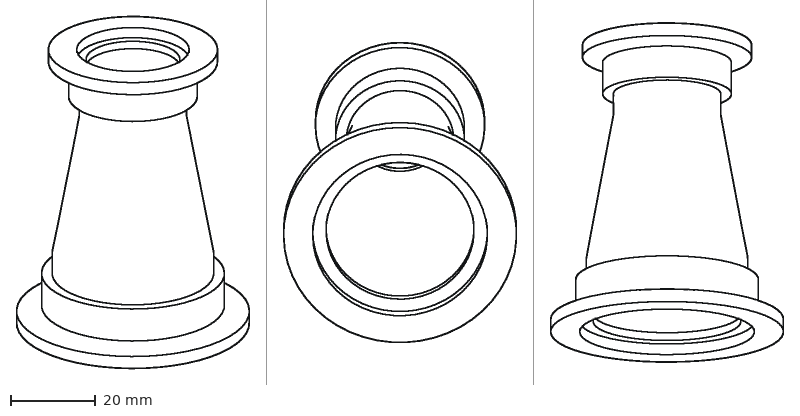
import cadquery as cq

total_height = 69.95

wall = 1.6
small_tube_radius = 12.65
large_tube_radius = 19.0
small_bore_radius = small_tube_radius - wall
large_bore_radius = large_tube_radius - wall
cone_bottom = 18.05
cone_top = 52.9

rim_thickness = 3.1
recess_depth = 2.6
socket_floor_depth = 4.5

large_rim_radius = 27.4
large_collar_radius = 21.55
large_collar_start = 4.55
large_flange_height = 12.7
large_recess_radius = 20.6

small_rim_radius = 19.95
small_collar_radius = 15.2
small_collar_start = 4.35
small_flange_height = 11.95
small_recess_radius = 13.2


def revolve_profile(points):
    """Revolve a closed (radius, height) outline about the Z axis."""
    return cq.Workplane("XZ").polyline(points).close().revolve(360, (0, 0), (0, 1))


def make_reducer():
    """Conical tube whose ends stand on the socket floors of the flanges."""
    bottom = socket_floor_depth
    top = total_height - socket_floor_depth
    return revolve_profile([
        (large_bore_radius, bottom),
        (large_tube_radius, bottom),
        (large_tube_radius, cone_bottom),
        (small_tube_radius, cone_top),
        (small_tube_radius, top),
        (small_bore_radius, top),
        (small_bore_radius, cone_top),
        (large_bore_radius, cone_bottom),
    ])


def make_flange(rim_radius, collar_radius, collar_start, height, recess_radius, tube_radius):
    """Clamp flange with its face at Z = 0: rim, sloped back, collar, seal recess and tube socket."""
    return revolve_profile([
        (recess_radius, 0),
        (rim_radius, 0),
        (rim_radius, rim_thickness),
        (collar_radius, collar_start),
        (collar_radius, height),
        (tube_radius, height),
        (tube_radius, socket_floor_depth),
        (tube_radius - wall, socket_floor_depth),
        (tube_radius - wall, recess_depth),
        (recess_radius, recess_depth),
    ])


reducer = make_reducer()

large_flange = make_flange(
    large_rim_radius, large_collar_radius, large_collar_start,
    large_flange_height, large_recess_radius, large_tube_radius,
)

small_flange = make_flange(
    small_rim_radius, small_collar_radius, small_collar_start,
    small_flange_height, small_recess_radius, small_tube_radius,
).rotate((0, 0, 0), (1, 0, 0), 180).translate((0, 0, total_height))

result = cq.Compound.makeCompound([reducer.val(), large_flange.val(), small_flange.val()])